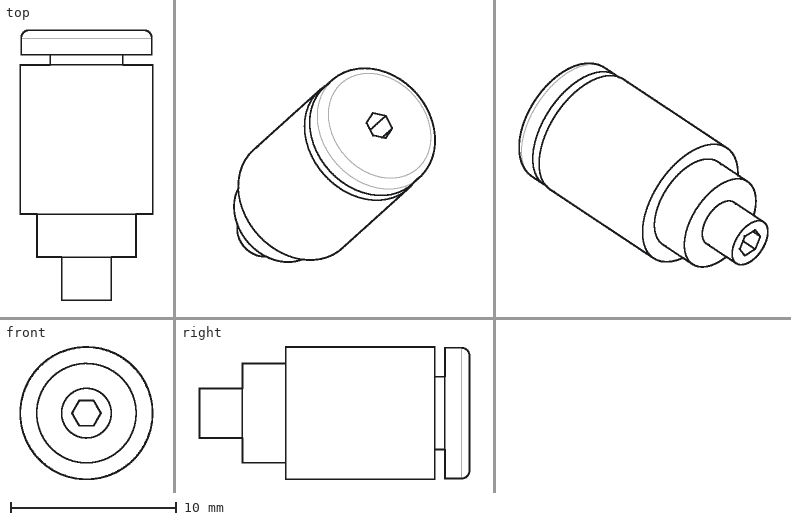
import cadquery as cq
import math

TIP_DIAMETER = 3.0
TIP_LENGTH = 2.6
SHOULDER_DIAMETER = 6.0
SHOULDER_LENGTH = 2.6
BODY_DIAMETER = 8.0
BODY_LENGTH = 9.0
NECK_DIAMETER = 4.4
NECK_LENGTH = 0.6
CAP_DIAMETER = 7.9
CAP_LENGTH = 1.5
CAP_FILLET = 0.5
HEX_SIDES = 6
HEX_ACROSS_FLATS = 1.5

TOTAL_LENGTH = TIP_LENGTH + SHOULDER_LENGTH + BODY_LENGTH + NECK_LENGTH + CAP_LENGTH


def plane_at(y):
    """Plane across the axis at position y, facing +Y, with its local x along X."""
    return cq.Plane(origin=(0, y, 0), xDir=(1, 0, 0), normal=(0, 1, 0))


def cylinder(diameter, length, start):
    """Cylinder along Y that begins at Y = start."""
    return cq.Workplane(plane_at(start)).circle(diameter / 2).extrude(length)


def stepped_body():
    """Tip, shoulder, main body and neck, one after the other."""
    sections = [
        (TIP_DIAMETER, TIP_LENGTH),
        (SHOULDER_DIAMETER, SHOULDER_LENGTH),
        (BODY_DIAMETER, BODY_LENGTH),
        (NECK_DIAMETER, NECK_LENGTH),
    ]
    body = cq.Workplane()
    start = 0
    for diameter, length in sections:
        body = body.add(cylinder(diameter, length, start))
        start += length
    return body.combine()


def cap():
    """End flange with its outer rim rounded."""
    flange = cylinder(CAP_DIAMETER, CAP_LENGTH, TOTAL_LENGTH - CAP_LENGTH)
    return flange.faces(">Y").edges().fillet(CAP_FILLET)


def hex_bore():
    """Hexagon through the full length, with two corners on the X axis."""
    across_corners = HEX_ACROSS_FLATS / math.cos(math.pi / HEX_SIDES)
    return cq.Workplane(plane_at(0)).polygon(HEX_SIDES, across_corners).extrude(TOTAL_LENGTH)


result = stepped_body().union(cap()).cut(hex_bore())